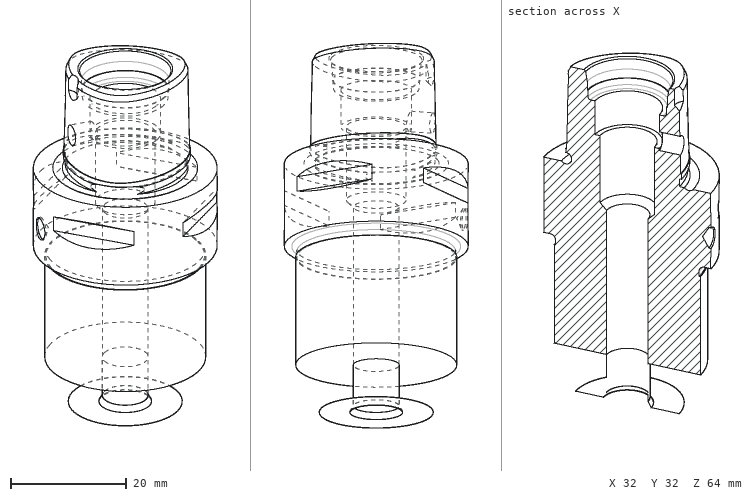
import cadquery as cq
import math

total_height = 64.0
body_bottom = 8.6
relief_bottom = 28.1
flange_bottom = 30.0
flange_top = 45.0

flange_radius = 16.0
body_radius = 28.0 / 2
relief_radius = 27.6 / 2
relief_fillet = 0.9
stem_radius = 8.0 / 2
sheet_thickness = 0.05
flare_height = 1.15
flare_radius = 4.6
disc_radius = 9.9

lobe_height = 0.7
neck_mean_radius = 10.75
band_bottom = 46.45
band_top = 47.55
band_mean_radius = 11.1
taper_bottom_mean_radius = 10.95
taper_top_mean_radius = 10.6
tip_mean_radius = 10.1
tip_chamfer_height = 1.0
shank_curve_points = 24

ring_groove_center_radius = 11.8
ring_groove_center_height = 45.7
ring_groove_section_radius = 1.1

mouth_radius = 16.5 / 2
mouth_chamfer = 0.3
upper_radius = 7.6
entry_bottom = 61.8
upper_bottom = 60.1
seat_radius = 15.0 / 2
seat_fillet = 0.5
seat_bottom = 58.3
middle_radius = 12.3 / 2
middle_bottom = 51.65
lower_radius = 10.4 / 2
lower_bottom = 38.4
lower_cone_half_angle = 45.0
through_radius = stem_radius - sheet_thickness

dimple_point_half_angle = 59.0
keyway_radius = 2.75
keyway_axis_offset = 11.8
keyway_shoulder = 60.85
keyway_point_half_angle = 45.0
cross_hole_diameter = 3.6
cross_hole_height = 53.05
dimple_radius = 4.0 / 2
dimple_height = 36.1
dimple_straight_depth = 0.4
grip_floor_distance = 14.1
grip_floor_width = 2.6
grip_center_height = 39.0
grip_wall_angle = 30.0
grip_count = 4


def revolve_profile(profile):
    """Turn a profile drawn in radius and height about the Z axis."""
    return profile.close().revolve(360, (0, 0, 0), (0, 1, 0))


def lobed_point(mean_radius, turn):
    """Point on a constant-width three-lobed curve with one lobe on +Y; turn runs from 0 to 1."""
    normal = 2 * math.pi * turn - math.pi / 2
    lobe_phase = 3 * (normal - math.pi / 2)
    reach = mean_radius + lobe_height * math.cos(lobe_phase)
    slide = -3 * lobe_height * math.sin(lobe_phase)
    return (
        reach * math.cos(normal) - slide * math.sin(normal),
        reach * math.sin(normal) + slide * math.cos(normal),
    )


def lobed_wire(mean_radius, height):
    turns = [index / shank_curve_points for index in range(shank_curve_points)]
    points = [lobed_point(mean_radius, turn) for turn in turns]
    curve = cq.Workplane("XY", origin=(0, 0, height)).spline(points, periodic=True)
    return curve.wire().val()


def lobed_stage(bottom, bottom_mean_radius, top, top_mean_radius):
    wires = [lobed_wire(bottom_mean_radius, bottom), lobed_wire(top_mean_radius, top)]
    return cq.Workplane(cq.Solid.makeLoft(wires, True))


def turned_outside():
    fillet_start = (relief_radius, flange_bottom - relief_fillet)
    fillet_end = (relief_radius + relief_fillet, flange_bottom)
    return revolve_profile(
        cq.Workplane("XZ")
        .lineTo(disc_radius, 0)
        .lineTo(disc_radius, sheet_thickness)
        .lineTo(flare_radius, sheet_thickness)
        .lineTo(stem_radius, flare_height)
        .lineTo(stem_radius, body_bottom)
        .lineTo(body_radius, body_bottom)
        .lineTo(body_radius, relief_bottom)
        .lineTo(relief_radius, relief_bottom)
        .lineTo(*fillet_start)
        .radiusArc(fillet_end, relief_fillet)
        .lineTo(flange_radius, flange_bottom)
        .lineTo(flange_radius, flange_top)
        .lineTo(0, flange_top)
    )


def shank():
    chamfer_bottom = total_height - tip_chamfer_height
    neck = lobed_stage(flange_top, neck_mean_radius, band_bottom, neck_mean_radius)
    band = lobed_stage(band_bottom, band_mean_radius, band_top, band_mean_radius)
    taper = lobed_stage(band_top, taper_bottom_mean_radius, chamfer_bottom, taper_top_mean_radius)
    tip = lobed_stage(chamfer_bottom, taper_top_mean_radius, total_height, tip_mean_radius)
    return neck.union(band).union(taper).union(tip)


def ring_groove():
    section = cq.Workplane("XZ").center(ring_groove_center_radius, ring_groove_center_height)
    section = section.circle(ring_groove_section_radius)
    return section.revolve(360, (-ring_groove_center_radius, 0, 0), (-ring_groove_center_radius, 1, 0))


def stepped_bore():
    cone_height = (lower_radius - through_radius) / math.tan(math.radians(lower_cone_half_angle))
    flare_bore_radius = flare_radius - sheet_thickness
    return revolve_profile(
        cq.Workplane("XZ")
        .lineTo(flare_bore_radius, 0)
        .lineTo(through_radius, flare_height)
        .lineTo(through_radius, lower_bottom - cone_height)
        .lineTo(lower_radius, lower_bottom)
        .lineTo(lower_radius, middle_bottom)
        .lineTo(middle_radius, middle_bottom)
        .lineTo(middle_radius, seat_bottom)
        .lineTo(seat_radius - seat_fillet, seat_bottom)
        .radiusArc((seat_radius, seat_bottom + seat_fillet), -seat_fillet)
        .lineTo(seat_radius, upper_bottom)
        .lineTo(upper_radius, upper_bottom)
        .lineTo(upper_radius, entry_bottom)
        .lineTo(mouth_radius - mouth_chamfer, total_height - mouth_chamfer)
        .lineTo(mouth_radius, total_height)
        .lineTo(0, total_height)
    )


def drilled_pocket(radius, straight_depth, point_half_angle):
    """Drill shape with its mouth at the origin, going down along Z and ending in a pointed tip."""
    tip_depth = radius / math.tan(math.radians(point_half_angle))
    return revolve_profile(
        cq.Workplane("XZ")
        .lineTo(radius, 0)
        .lineTo(radius, -straight_depth)
        .lineTo(0, -straight_depth - tip_depth)
    )


def keyway():
    pocket = drilled_pocket(keyway_radius, total_height - keyway_shoulder, keyway_point_half_angle)
    return pocket.translate((0, -keyway_axis_offset, total_height))


def dimple():
    pocket = drilled_pocket(dimple_radius, dimple_straight_depth, dimple_point_half_angle)
    pocket = pocket.rotate((0, 0, 0), (1, 0, 0), 90)
    return pocket.translate((0, -flange_radius, dimple_height))


def cross_hole():
    """Hole from the -Y side that ends at the wall of the middle bore."""
    hole = cq.Workplane("XZ", origin=(0, 0, cross_hole_height))
    hole = hole.circle(cross_hole_diameter / 2).extrude(flange_radius)
    return hole.cut(cq.Workplane("XY").circle(middle_radius).extrude(total_height))


def grip_slots():
    """Straight trapezoid slots across the flange rim, midway between the X and Y axes."""
    depth = flange_radius - grip_floor_distance
    half_floor = grip_floor_width / 2
    half_mouth = half_floor + depth * math.tan(math.radians(grip_wall_angle))
    section = [
        (grip_floor_distance, grip_center_height - half_floor),
        (flange_radius, grip_center_height - half_mouth),
        (flange_radius, grip_center_height + half_mouth),
        (grip_floor_distance, grip_center_height + half_floor),
    ]
    slot = cq.Workplane("XZ").polyline(section).close().extrude(flange_radius, both=True)
    slots = cq.Workplane("XY")
    for index in range(grip_count):
        angle = (index + 1 / 2) * 360 / grip_count
        slots = slots.add(slot.rotate((0, 0, 0), (0, 0, 1), angle))
    return slots.combine()


result = turned_outside().union(shank())
for cutter in (ring_groove(), stepped_bore(), keyway(), dimple(), cross_hole(), grip_slots()):
    result = result.cut(cutter)